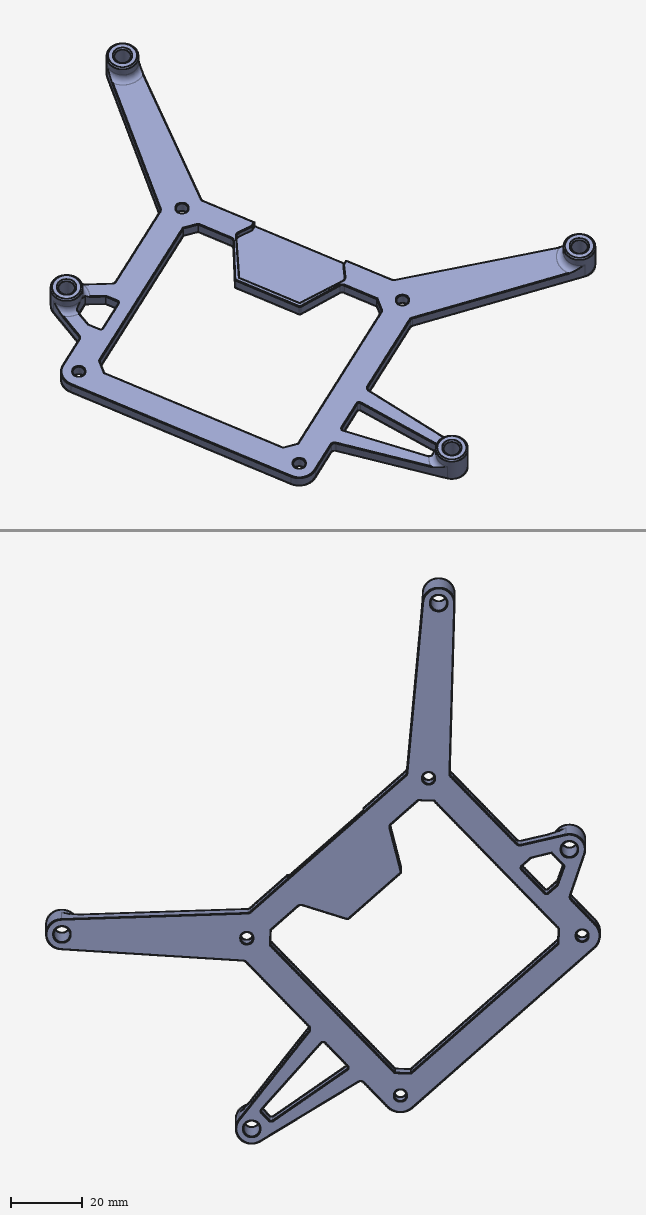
import cadquery as cq
import math

frame_length = 79.1
frame_width = 73.0
plate_height = 4.0
plate_edge_chamfer = 0.23
hole_spacing_x = 69.0
hole_spacing_y = 63.0
frame_hole_diameter = 3.3
window_length = 62.0
window_width = 57.2
window_chamfer = 3.0
junction_radius = 1.0

overall_length = 152.1
overall_width = 108.3
boss_diameter = 9.0
boss_height = 9.0
boss_hole_diameter = 4.5
boss_chamfer = 0.5
flare_radius = 2.0
lower_boss_y = -10.5
left_ear_boss_x = -49.1

left_arm_top_x = -30.9
left_arm_side_y = 28.1
right_arm_top_x = 29.0
right_arm_side_y = 26.9

left_ear_half_width = 10.5
right_ear_half_width = 10.3
left_opening_half_width = 5.3
left_opening_wall_x = -35.5
left_opening_tip_half_width = 2.6
right_opening_half_width = 5.3
right_opening_tip_half_width = 2.1
right_opening_tip_gap = 5.3
opening_corner_radius = 0.6

pad_front_y = 16.3
pad_front_half_length = 10.2
pad_root_half_length = 17.0
pad_root_radius = 1.2
pad_corner_radius = 0.6
recess_depth = 2.0
recess_front_y = 17.6
recess_front_half_length = 9.5
recess_widest_y = 30.5
recess_widest_half_length = 17.0
recess_back_y = 34.8
recess_back_half_length = 14.3
recess_corner_radius = 1.5

half_length = frame_length / 2
half_width = frame_width / 2
corner_radius = (frame_length - hole_spacing_x) / 2
boss_radius = boss_diameter / 2
boss_x = overall_length / 2 - boss_radius
upper_boss_y = overall_width - half_width - boss_radius
left_arm_boss = (-boss_x, upper_boss_y)
right_arm_boss = (boss_x, upper_boss_y)
left_ear_boss = (left_ear_boss_x, lower_boss_y)
right_ear_boss = (boss_x, lower_boss_y)


def prism(points, height, base=0.0):
    return cq.Workplane("XY").workplane(offset=base).polyline(points).close().extrude(height)


def disc(centre, radius, height, base=0.0):
    return cq.Workplane("XY").workplane(offset=base).center(*centre).circle(radius).extrude(height)


def round_corners(body, corners, radius):
    """Fillet the upright edges that stand at the given corners."""
    reach = 0.2
    for x, y in corners:
        near = cq.selectors.BoxSelector((x - reach, y - reach, -reach), (x + reach, y + reach, boss_height))
        body = body.edges("|Z").edges(near).fillet(radius)
    return body


def tangent_point(corner, centre, turn):
    """Where a line from corner touches the boss, counterclockwise (turn +1) or clockwise (turn -1) of corner."""
    dx = corner[0] - centre[0]
    dy = corner[1] - centre[1]
    angle = math.atan2(dy, dx) + turn * math.acos(boss_radius / math.hypot(dx, dy))
    return (centre[0] + boss_radius * math.cos(angle), centre[1] + boss_radius * math.sin(angle))


def make_arm(corners, centre, height):
    """Arm from two frame corners, listed clockwise around the boss, with edges tangent to the boss."""
    first, second = corners
    outline = [first, tangent_point(first, centre, 1), tangent_point(second, centre, -1), second]
    return prism(outline, height).union(disc(centre, boss_radius, height))


def make_boss(centre, arm_shape):
    """Boss with a chamfered bore and a concave flare at its foot, the flare kept inside the arm outline."""
    base = plate_height / 2
    foot_radius = boss_radius + flare_radius
    flare_top = plate_height + flare_radius
    bend = flare_radius * (1 - math.sqrt(0.5))
    flare = (
        cq.Workplane("XZ")
        .moveTo(0, base)
        .lineTo(foot_radius, base)
        .lineTo(foot_radius, plate_height)
        .threePointArc((boss_radius + bend, plate_height + bend), (boss_radius, flare_top))
        .lineTo(0, flare_top)
        .close()
        .revolve(360, (0, 0, 0), (0, 1, 0))
        .translate((centre[0], centre[1], 0))
    )
    bore = disc(centre, boss_hole_diameter / 2, boss_height)
    sleeve = disc(centre, boss_radius, boss_height - base, base).cut(bore)
    sleeve = sleeve.faces(">Z").edges().chamfer(boss_chamfer)
    return sleeve.union(flare.intersect(arm_shape).cut(bore))


def make_frame():
    frame = cq.Workplane("XY").rect(frame_length, frame_width).extrude(plate_height)
    frame = frame.edges("|Z").fillet(corner_radius)
    window = cq.Workplane("XY").rect(window_length, window_width).extrude(plate_height)
    return frame.cut(window.edges("|Z").chamfer(window_chamfer))


def mirrored_outline(right_points):
    """Close an outline from its right half, listed front to back."""
    return right_points + [(-x, y) for x, y in reversed(right_points)]


def make_pad():
    root_y = window_width / 2
    outline = mirrored_outline(
        [
            (pad_front_half_length, pad_front_y),
            (pad_root_half_length, root_y),
            (pad_root_half_length, half_width),
        ]
    )
    return prism(outline, plate_height)


def make_recess():
    outline = mirrored_outline(
        [
            (recess_front_half_length, recess_front_y),
            (recess_widest_half_length, recess_widest_y),
            (recess_back_half_length, recess_back_y),
            (recess_back_half_length, half_width),
        ]
    )
    recess = prism(outline, recess_depth, plate_height - recess_depth)
    widest = [(side * recess_widest_half_length, recess_widest_y) for side in (-1, 1)]
    return round_corners(recess, widest, recess_corner_radius)


def opening_outline(stations):
    """Outline symmetric about the ears' axis, from (x, half width) stations."""
    upper = [(x, lower_boss_y + half) for x, half in stations]
    lower = [(x, lower_boss_y - half) for x, half in reversed(stations)]
    return upper + lower


def make_left_opening():
    """Opening that reaches into the frame bar and ends against the round wall of the boss."""
    outline = opening_outline(
        [
            (left_opening_wall_x, left_opening_half_width),
            (-half_length, left_opening_half_width),
            (left_ear_boss_x + boss_radius, left_opening_tip_half_width),
        ]
    )
    opening = prism(outline, boss_height)
    wall_corners = [(left_opening_wall_x, lower_boss_y + side * left_opening_half_width) for side in (-1, 1)]
    opening = round_corners(opening, wall_corners, opening_corner_radius)
    return opening.cut(disc(left_ear_boss, boss_radius, boss_height))


def make_right_opening():
    """Tapered opening between the two struts of the long ear."""
    outline = opening_outline(
        [
            (half_length, right_opening_half_width),
            (boss_x - right_opening_tip_gap, right_opening_tip_half_width),
        ]
    )
    return prism(outline, boss_height).edges("|Z").fillet(opening_corner_radius)


arms = [
    ([(left_arm_top_x, half_width), (-half_length, left_arm_side_y)], left_arm_boss),
    ([(half_length, right_arm_side_y), (right_arm_top_x, half_width)], right_arm_boss),
    (
        [
            (-half_length, lower_boss_y + left_ear_half_width),
            (-half_length, lower_boss_y - left_ear_half_width),
        ],
        left_ear_boss,
    ),
    (
        [
            (half_length, lower_boss_y - right_ear_half_width),
            (half_length, lower_boss_y + right_ear_half_width),
        ],
        right_ear_boss,
    ),
]

plate = make_frame().union(make_pad())
for corners, centre in arms:
    plate = plate.union(make_arm(corners, centre, plate_height))
for corners, centre in arms:
    plate = round_corners(plate, corners, junction_radius)
for side in (-1, 1):
    plate = round_corners(plate, [(side * pad_root_half_length, window_width / 2)], pad_root_radius)
    plate = round_corners(plate, [(side * pad_front_half_length, pad_front_y)], pad_corner_radius)
frame_holes = (
    cq.Workplane("XY")
    .rect(hole_spacing_x, hole_spacing_y, forConstruction=True)
    .vertices()
    .circle(frame_hole_diameter / 2)
    .extrude(plate_height)
)
openings = make_left_opening().union(make_right_opening())
plate = plate.cut(make_recess()).cut(openings).cut(frame_holes)
for corners, centre in arms:
    plate = plate.cut(disc(centre, boss_hole_diameter / 2, plate_height))
plate = plate.faces("<Z or >Z").edges().chamfer(plate_edge_chamfer)

result = plate
for corners, centre in arms:
    boss = make_boss(centre, make_arm(corners, centre, boss_height))
    result = result.union(boss.cut(openings))